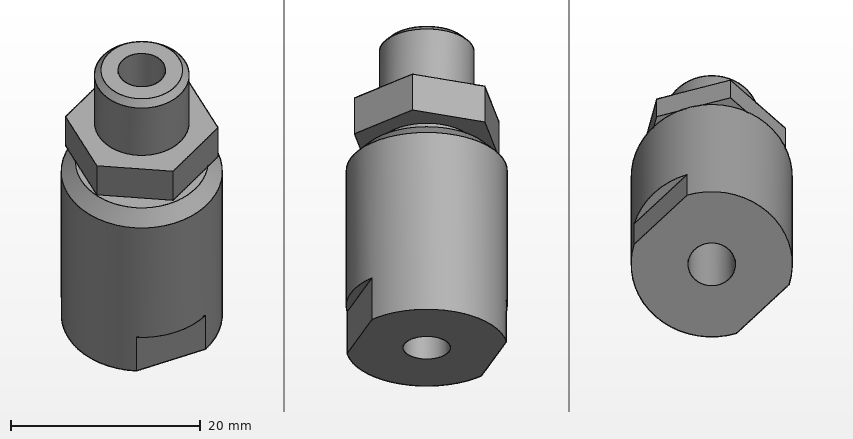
import cadquery as cq
import math

body_diameter = 17.0
body_height = 22.7
body_chamfer = 1.5
flat_width_across = 15.0
flat_height = 5.0

stem_diameter = 10.0
stem_chamfer = 0.7
neck_height = 1.5
hex_sides = 6
hex_across_flats = 14.0
hex_height = 4.3
spigot_height = 7.7

bore_diameter = 5.0

hex_base = body_height + neck_height
total_height = hex_base + hex_height + spigot_height
hex_across_corners = hex_across_flats / math.cos(math.pi / hex_sides)


def make_body():
    """Cylinder on the XY plane with its top rim chamfered and flats facing -X and +X."""
    cylinder = cq.Workplane("XY").circle(body_diameter / 2).extrude(body_height)
    body = cylinder.faces(">Z").chamfer(body_chamfer)
    flat_depth = (body_diameter - flat_width_across) / 2
    flat_center = (flat_width_across + flat_depth) / 2
    for side in (-1, 1):
        cutter = (
            cq.Workplane("XY")
            .center(side * flat_center, 0)
            .rect(flat_depth, body_diameter)
            .extrude(flat_height)
        )
        body = body.cut(cutter)
    return body


def make_stem():
    """Round stem from the top of the body to the chamfered upper end."""
    stem_height = total_height - body_height
    stem = (
        cq.Workplane("XY")
        .workplane(offset=body_height)
        .circle(stem_diameter / 2)
        .extrude(stem_height)
    )
    return stem.faces(">Z").chamfer(stem_chamfer)


def make_hex_collar():
    """Hexagonal collar with two corners on the X axis."""
    return (
        cq.Workplane("XY")
        .workplane(offset=hex_base)
        .polygon(hex_sides, hex_across_corners)
        .extrude(hex_height)
    )


def make_bore():
    """Straight bore along the full length."""
    return cq.Workplane("XY").circle(bore_diameter / 2).extrude(total_height)


result = make_body().union(make_stem()).union(make_hex_collar()).cut(make_bore())